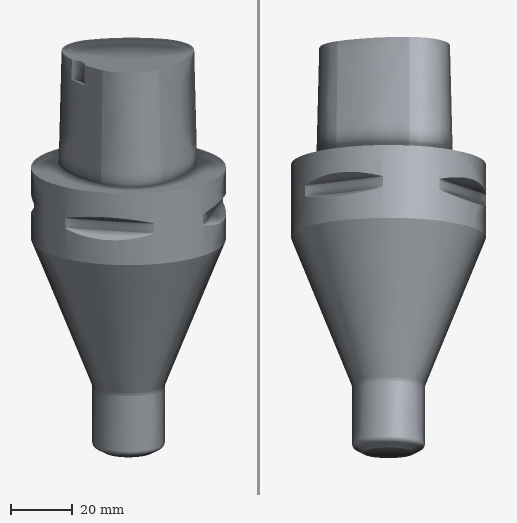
import cadquery as cq
import math

flange_radius = 63 / 2
flange_height = 24.0

shank_height = 38.0
shank_lobe_reach = 23.6
shank_flank_reach = 20.3
shank_lobe_radius = 14.5
shank_taper = math.degrees(math.atan(1 / 40))
lobe_count = 3

notch_radius = 6.0
notch_depth = 1.6
notch_height = 6.5

groove_count = 4
groove_first_angle = 45.0
groove_center_z = -12.0
groove_floor_distance = 27.9
groove_floor_height = 3.5
groove_wall_angle = 30.0
groove_fillet_radius = 0.5

total_height = 133.0
neck_radius = 23.5 / 2
cone_end_z = -73.0
cone_fillet_radius = 2.4
end_face_radius = 8.4
end_chamfer_angle = 30.0
end_fillet_radius = 1.6

bottom_z = shank_height - total_height


def polar(radius, degrees):
    angle = math.radians(degrees)
    return (radius * math.cos(angle), radius * math.sin(angle))


def make_body():
    """Flange, cone and neck as one turned solid."""
    chamfer_height = (neck_radius - end_face_radius) * math.tan(math.radians(end_chamfer_angle))
    chamfer_z = bottom_z + chamfer_height
    body = (
        cq.Workplane("XZ")
        .moveTo(0, 0)
        .lineTo(flange_radius, 0)
        .lineTo(flange_radius, -flange_height)
        .lineTo(neck_radius, cone_end_z)
        .lineTo(neck_radius, chamfer_z)
        .lineTo(end_face_radius, bottom_z)
        .lineTo(0, bottom_z)
        .close()
        .revolve(360, (0, 0, 0), (0, 1, 0))
    )

    def corner_edge(z):
        reach = 2 * neck_radius
        margin = 0.1
        return cq.selectors.BoxSelector((-reach, -reach, z - margin), (reach, reach, z + margin))

    body = body.edges(corner_edge(cone_end_z)).fillet(cone_fillet_radius)
    return body.edges(corner_edge(chamfer_z)).fillet(end_fillet_radius)


def make_shank():
    """Three-lobed shank: lobe arcs and flank arcs meeting tangentially, then tapered."""
    lobe_offset = shank_lobe_reach - shank_lobe_radius
    gap = shank_flank_reach - shank_lobe_radius
    flank_offset = (lobe_offset**2 - gap**2) / (2 * gap - lobe_offset)
    flank_radius = shank_flank_reach + flank_offset

    lobe_spacing = 360 / lobe_count
    lobe_side_shift = lobe_offset * math.sin(math.radians(lobe_spacing / 2))
    flank_half_angle = math.degrees(math.asin(lobe_side_shift / (flank_radius - shank_lobe_radius)))
    lobe_half_angle = lobe_spacing / 2 - flank_half_angle

    def lobe_point(lobe_angle, turn):
        center = polar(lobe_offset, lobe_angle)
        arm = polar(shank_lobe_radius, lobe_angle + turn)
        return (center[0] + arm[0], center[1] + arm[1])

    first_lobe_angle = 90.0
    outline = cq.Workplane("XY").moveTo(*lobe_point(first_lobe_angle, -lobe_half_angle))
    for index in range(lobe_count):
        lobe_angle = first_lobe_angle + index * lobe_spacing
        lobe_tip = polar(shank_lobe_reach, lobe_angle)
        flank_middle = polar(shank_flank_reach, lobe_angle + lobe_spacing / 2)
        next_lobe_start = lobe_point(lobe_angle + lobe_spacing, -lobe_half_angle)
        outline = outline.threePointArc(lobe_tip, lobe_point(lobe_angle, lobe_half_angle))
        outline = outline.threePointArc(flank_middle, next_lobe_start)
    return outline.close().extrude(shank_height, taper=shank_taper)


def make_notch():
    """Cylinder parallel to the sloping -Y flank that cuts a shallow hollow into its end."""
    flank_reach_at_end = shank_flank_reach - shank_height * math.tan(math.radians(shank_taper))
    center_y = -(flank_reach_at_end - notch_depth + notch_radius)
    overshoot = notch_radius
    return (
        cq.Workplane("XY", origin=(0, center_y, shank_height - notch_height))
        .circle(notch_radius)
        .extrude(notch_height + overshoot)
        .rotate((0, center_y, shank_height), (1, center_y, shank_height), -shank_taper)
    )


def make_groove(angle):
    """Straight groove with a flat floor and sloping walls, across the flange at one angle."""
    floor_half = groove_floor_height / 2
    depth = flange_radius - groove_floor_distance
    mouth_half = floor_half + depth * math.tan(math.radians(groove_wall_angle))
    return (
        cq.Workplane("XZ")
        .moveTo(groove_floor_distance, groove_center_z - floor_half)
        .lineTo(flange_radius, groove_center_z - mouth_half)
        .lineTo(flange_radius, groove_center_z + mouth_half)
        .lineTo(groove_floor_distance, groove_center_z + floor_half)
        .close()
        .extrude(flange_radius, both=True)
        .edges("|Y and <X")
        .fillet(groove_fillet_radius)
        .rotate((0, 0, 0), (0, 0, 1), angle)
    )


result = make_body().union(make_shank()).cut(make_notch())
for groove_index in range(groove_count):
    groove_angle = groove_first_angle + groove_index * 360 / groove_count
    result = result.cut(make_groove(groove_angle))